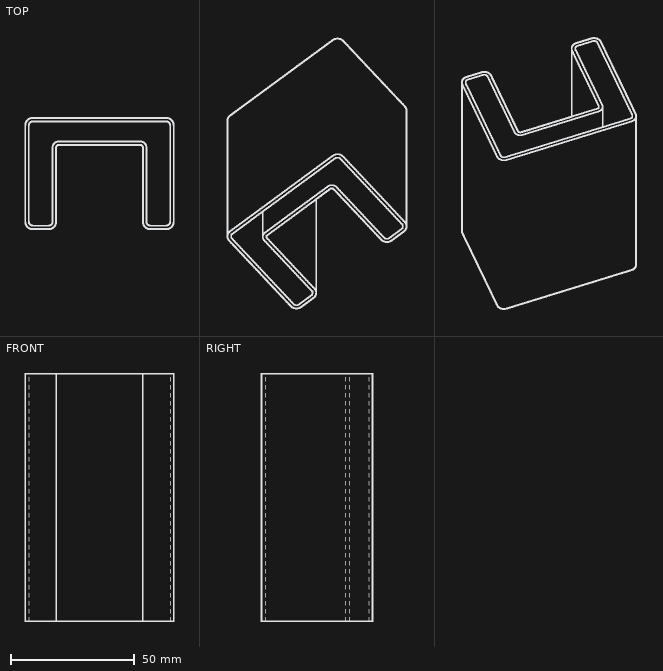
import cadquery as cq

width = 60.0
depth = 45.0
length = 100.0
wall = 1.5

leg_width = 12.5
back_width = 11.0

outer_radius = 3.0
inner_radius = outer_radius - wall
root_inner_radius = 1.0
root_outer_radius = root_inner_radius + wall


def channel(inset, convex_radius, root_radius):
    """U-shaped prism inset from the outer skin, with its corners rounded.

    convex_radius rounds the convex corners, root_radius the two
    concave corners at the closed end of the slot.
    """
    body_width = width - 2 * inset
    body_depth = depth - 2 * inset
    slot_width = width - 2 * leg_width + 2 * inset
    slot_depth = depth - back_width + inset
    front = -depth / 2

    body = cq.Workplane("XY").box(body_width, body_depth, length)
    slot = (
        cq.Workplane("XY")
        .rect(slot_width, 2 * slot_depth)
        .extrude(length / 2, both=True)
        .edges("|Z")
        .fillet(root_radius)
        .translate((0, front, 0))
    )
    prism = body.cut(slot)
    convex_corners = prism.edges("|Z and (<X or >X or <Y)")
    return convex_corners.fillet(convex_radius)


outer_skin = channel(0, outer_radius, root_inner_radius)
cavity = channel(wall, inner_radius, root_outer_radius)
result = outer_skin.cut(cavity)